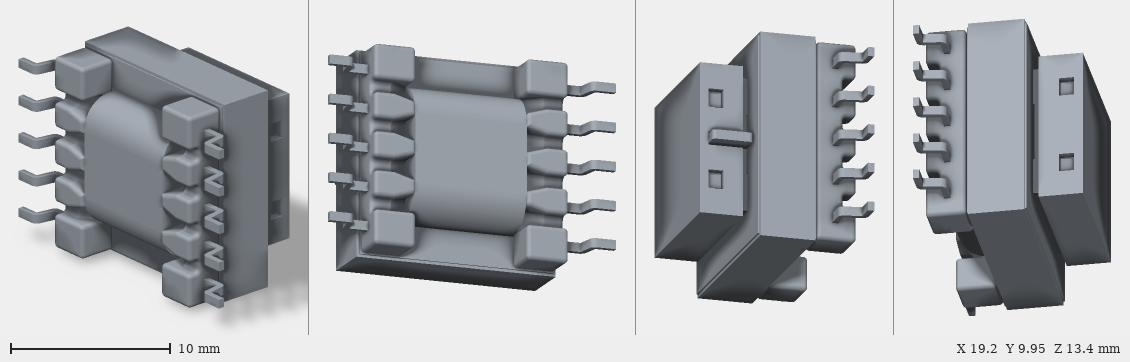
import cadquery as cq
import math


core_half_x = 6.5
core_half_z = 6.53
core_depth = 3.82
core_mid_y = 4.771
core_gap = 0.05
tape_thickness = 0.182
tape_width = 3.6

spool_half_x = 3.75
flange_thickness = 0.5
flange_half_z = 4.35
flange_rear_y = 9.39
bore_half_z = 1.94
tube_wall = 0.52
winding_half_y = 4.4
winding_corner = 2.07

block_front_y = 0.21
edge_radius = 0.27
notch_width = 0.86
notch_floor_y = 1.08
floor_slope = 38.0
taper_length = 1.38
taper_angle = 16.0

lead_count = 5
lead_pitch = 2.544
lead_width = 0.6
lead_thickness = 0.4
lead_tip_x = 9.6
foot_bend_x = 8.35
shoulder_y = 1.42
leg_lean = 10.0

cap_half_x = 4.829
cap_half_z = 4.944
cap_front_y = 7.12
cap_rear_y = 9.95
cap_slot_width = 0.86
window_mid_z = 2.67
window_height = 1.2
window_depth = 0.98

fin_tip_x = 5.75
fin_thickness = 0.61
nub_height = 0.88
nub_length = 0.92
nub_rise = 0.25

core_front_y = core_mid_y - core_depth / 2
core_rear_y = core_mid_y + core_depth / 2
bore_front_y = core_front_y - core_gap
bore_rear_y = core_rear_y + core_gap
flange_outer_x = spool_half_x + flange_thickness
cap_wall = cap_rear_y - flange_rear_y


def box(x0, x1, y0, y1, z0, z1):
    """Box between two corners."""
    return cq.Workplane("XY").box(x1 - x0, y1 - y0, z1 - z0, centered=False).translate((x0, y0, z0))


def slab(x0, x1, y0, y1, half_z):
    """Box that is symmetric about Z = 0."""
    return box(x0, x1, y0, y1, -half_z, half_z)


def mirrored(left):
    """Copy of a left-hand shape on the +X side."""
    return left.mirror("YZ")


def make_core_half():
    """Left E-shaped core half: back, two outer legs and the centre leg."""
    body = slab(-core_half_x, 0, core_front_y, core_rear_y, core_half_z)
    back_inner_x = -(flange_outer_x + core_gap)
    room = slab(back_inner_x, 0, core_front_y, core_rear_y, flange_half_z + core_gap)
    leg = slab(back_inner_x, 0, core_front_y, core_rear_y, bore_half_z - core_gap)
    return body.cut(room).union(leg)


def make_tape():
    """Band wrapped around both core halves."""
    y0 = core_mid_y - tape_width / 2
    y1 = core_mid_y + tape_width / 2
    outer_x = core_half_x + tape_thickness
    outer = slab(-outer_x, outer_x, y0, y1, core_half_z + tape_thickness)
    return outer.cut(slab(-core_half_x, core_half_x, y0, y1, core_half_z))


def make_tube():
    """Square tube that joins the flanges and carries the winding."""
    return slab(
        -spool_half_x, spool_half_x, bore_front_y - tube_wall, bore_rear_y + tube_wall, bore_half_z + tube_wall
    )


def make_winding():
    """Coil with rounded corners, wound on the tube."""
    coil = slab(
        -spool_half_x, spool_half_x, core_mid_y - winding_half_y, core_mid_y + winding_half_y, flange_half_z
    )
    return coil.edges("|X").fillet(winding_corner).cut(make_tube())


def notch_section(x, low_z, high_z, floor_y):
    """U-shaped notch outline with rounded floor corners, in the YZ plane at x."""
    r = edge_radius
    bow = r * (1 - math.sqrt(0.5))
    return (
        cq.Workplane("YZ", origin=(x, 0, 0))
        .moveTo(0, low_z)
        .lineTo(floor_y - r, low_z)
        .threePointArc((floor_y - bow, low_z + bow), (floor_y, low_z + r))
        .lineTo(floor_y, high_z - r)
        .threePointArc((floor_y - bow, high_z - bow), (floor_y - r, high_z))
        .lineTo(0, high_z)
        .close()
        .val()
    )


def make_notch(low_flare, high_flare):
    """Cutter for one notch at Z = 0; each wall can flare out towards the winding."""
    half = notch_width / 2
    flare = taper_length * math.tan(math.radians(taper_angle))
    fall = taper_length * math.tan(math.radians(floor_slope))
    low_z = -half - (flare if low_flare else 0)
    high_z = half + (flare if high_flare else 0)
    outer = notch_section(-core_half_x, -half, half, notch_floor_y)
    crease = notch_section(-spool_half_x - taper_length, -half, half, notch_floor_y)
    inner = notch_section(-spool_half_x, low_z, high_z, notch_floor_y + fall)
    return cq.Workplane(cq.Solid.makeLoft([outer, crease, inner], True))


def make_block():
    """Left terminal block: a notch between each pair of leads, all outer edges rounded."""
    block = slab(-core_half_x, -spool_half_x, block_front_y, bore_front_y, core_half_x)
    gaps = lead_count - 1
    for i in range(gaps):
        z = (i - (gaps - 1) / 2) * lead_pitch
        block = block.cut(make_notch(i > 0, i < gaps - 1).translate((0, 0, z)))
    middle_z = (gaps - 2) / 2 * lead_pitch
    sharp_rims = cq.selectors.BoxSelector(
        (-spool_half_x - edge_radius, block_front_y + edge_radius, -middle_z),
        (-spool_half_x + edge_radius, bore_front_y - edge_radius, middle_z),
    )
    rims = block.faces("<X or >X or <Y or >Y or <Z or >Z").edges(-sharp_rims)
    return rims.fillet(edge_radius)


def make_lead(z):
    """Left gull-wing lead; both bends are sharp inside and round outside."""
    t = lead_thickness
    lean = math.radians(leg_lean)
    shoulder_bend_x = foot_bend_x - (t + (shoulder_y - t) * math.sin(lean)) / math.cos(lean)
    half_turn = math.radians(90 - leg_lean) / 2

    def around(x, y, angle):
        """Point one thickness away from a bend's inner corner, towards the given angle."""
        return (x + t * math.cos(angle), y + t * math.sin(angle))

    shoulder = (-shoulder_bend_x, shoulder_y)
    heel = (-foot_bend_x, t)
    up = math.pi / 2
    down = -math.pi / 2
    turn = 2 * half_turn
    return (
        cq.Workplane("XY", origin=(0, 0, z))
        .moveTo(-lead_tip_x, 0)
        .lineTo(-foot_bend_x, 0)
        .threePointArc(around(*heel, down + half_turn), around(*heel, down + turn))
        .lineTo(*shoulder)
        .lineTo(-core_half_x + edge_radius, shoulder_y)
        .lineTo(-core_half_x + edge_radius, shoulder_y + t)
        .lineTo(-shoulder_bend_x, shoulder_y + t)
        .threePointArc(around(*shoulder, up + half_turn), around(*shoulder, up + turn))
        .lineTo(*heel)
        .lineTo(-lead_tip_x, t)
        .close()
        .extrude(lead_width / 2, both=True)
    )


def make_nub(z):
    """Snap wedge on the left flange that falls away towards the rear."""
    side = [
        (-flange_outer_x, flange_rear_y),
        (-flange_outer_x, flange_rear_y - nub_length),
        (-flange_outer_x - nub_rise, flange_rear_y - nub_length),
    ]
    profile = cq.Workplane("XY", origin=(0, 0, z)).polyline(side).close()
    return profile.extrude(nub_height / 2, both=True)


def make_bobbin_side():
    """Left flange with its terminal block, leads and snap nubs."""
    side = slab(-flange_outer_x, -spool_half_x, bore_front_y, flange_rear_y, flange_half_z)
    side = side.union(make_block())
    for i in range(lead_count):
        side = side.union(make_lead((i - (lead_count - 1) / 2) * lead_pitch))
    for z in (-window_mid_z, window_mid_z):
        side = side.union(make_nub(z))
    return side


def make_fin():
    """Key fin on the left flange, rounded at its free corners."""
    fin = slab(-fin_tip_x, -flange_outer_x, bore_rear_y, flange_rear_y, fin_thickness / 2)
    return fin.edges("|Z and <X").fillet(edge_radius)


def make_bobbin():
    """Tube, two flanged sides and fin, with the bore for the centre leg."""
    left = make_bobbin_side()
    bobbin = make_tube().union(left).union(mirrored(left)).union(make_fin())
    bore = slab(-flange_outer_x, flange_outer_x, bore_front_y, bore_rear_y, bore_half_z)
    return bobbin.cut(bore)


def make_cap():
    """Cap over the rear of the spool, with snap windows and a slot for the fin."""
    cavity_x = cap_half_x - cap_wall
    cap = slab(-cap_half_x, cap_half_x, cap_front_y, cap_rear_y, cap_half_z)
    cap = cap.cut(slab(-cavity_x, cavity_x, cap_front_y, flange_rear_y, cap_half_z - cap_wall))
    for z in (-window_mid_z, window_mid_z):
        z0 = z - window_height / 2
        z1 = z + window_height / 2
        cap = cap.cut(box(-cap_half_x, cap_half_x, flange_rear_y - window_depth, flange_rear_y, z0, z1))
    slot = slab(-cap_half_x, -cavity_x, cap_front_y, flange_rear_y, cap_slot_width / 2)
    return cap.cut(slot)


core_left = make_core_half()
core_right = mirrored(core_left)
tape = make_tape()
winding = make_winding()
bobbin = make_bobbin()
cap = make_cap()

result = cq.Compound.makeCompound(
    [core_left.val(), core_right.val(), tape.val(), winding.val(), bobbin.val(), cap.val()]
)